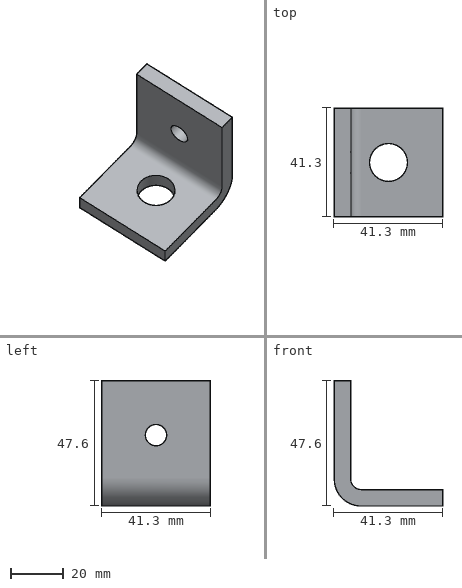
import cadquery as cq

width = 41.3
base_length = 41.3
height = 47.6
thickness = 6.35
inner_bend_radius = 4.0
base_hole_diameter = 14.3
wall_hole_diameter = 8.0

outer_bend_radius = inner_bend_radius + thickness
base_hole_x = base_length / 2
wall_hole_z = height - width / 2


def bent_plate():
    """L-shaped plate with concentric bend radii, centred on Y = 0."""
    sharp_angle = (
        cq.Workplane("XZ")
        .moveTo(0, 0)
        .lineTo(base_length, 0)
        .lineTo(base_length, thickness)
        .lineTo(thickness, thickness)
        .lineTo(thickness, height)
        .lineTo(0, height)
        .close()
        .extrude(width / 2, both=True)
    )
    outer_corner = cq.selectors.NearestToPointSelector((0, 0, 0))
    inner_corner = cq.selectors.NearestToPointSelector((thickness, 0, thickness))
    return (
        sharp_angle
        .edges(outer_corner).fillet(outer_bend_radius)
        .edges("|Y").edges(inner_corner).fillet(inner_bend_radius)
    )


def base_hole():
    """Vertical cutter through the base leg."""
    return cq.Workplane("XY").center(base_hole_x, 0).circle(base_hole_diameter / 2).extrude(thickness)


def wall_hole():
    """Horizontal cutter through the upright leg."""
    return cq.Workplane("YZ").center(0, wall_hole_z).circle(wall_hole_diameter / 2).extrude(thickness)


result = bent_plate().cut(base_hole()).cut(wall_hole())